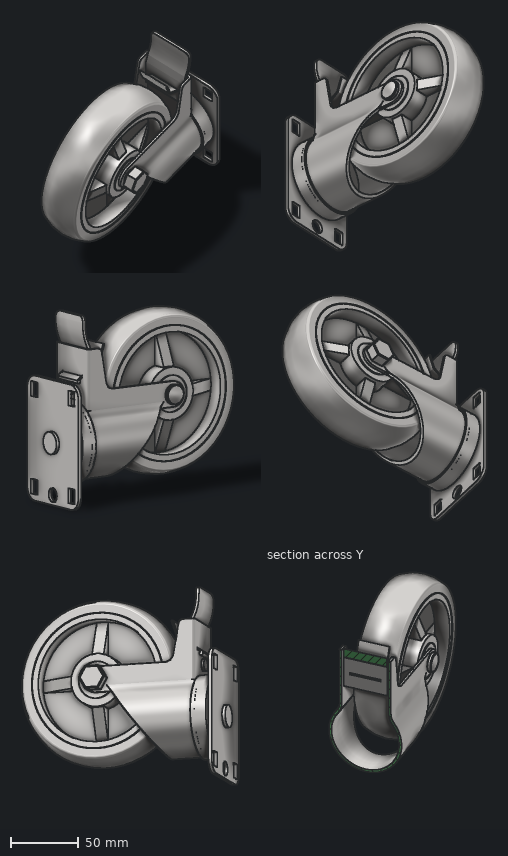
import cadquery as cq
import math


PLATE_WIDTH = 66.5
PLATE_HEIGHT = 94.9
PLATE_THICKNESS = 2.7
PLATE_CORNER = 10.0
SLOT_WIDTH = 8.4
SLOT_HEIGHT = 11.3
SLOT_CORNER = 0.6
SLOT_PITCH_X = 48.3
SLOT_PITCH_Z = 74.0
ROUND_HOLE_RADIUS = 5.3
ROUND_HOLE_DROP = 39.7
PIN_RADIUS = 8.5
PIN_STANDOUT = 2.5
CUP_RADIUS = 31.7
CUP_TOP = -5.3
CUP_RIM = -17.5
CUP_GROOVE_RADIUS = 30.7
CUP_GROOVE_DEPTH = 3.2

AXLE_Y = -95.0
AXLE_Z = 30.1

SLEEVE_RADIUS = 29.8
SLEEVE_WALL = 2.4
EAR_HALF_SPAN = 21.0
EAR_WALL = 2.1
WEB_WALL = 2.4
BLEND_RADIUS = 11.3
BEND_RADIUS = 2.3
EAR_TOP = 71.7
EAR_TOP_Y = -29.5
EAR_ROOT_Y = -34.9
EAR_TOP_ROUND = 3.2
EAR_ROOT_ROUND = 7.2
EAR_END_RADIUS = 9.8
SLANT_BOTTOM_Y = -43.1
SLANT_RISE = 1.27
STOP_RADIUS = 4.7
STOP_Y = -15.5
STOP_Z = 39.9
EAR_INNER = EAR_HALF_SPAN - EAR_WALL
WEB_INNER_Y = CUP_RIM - WEB_WALL

LEVER_WIDTH = 35.4
LEVER_THICKNESS = 2.4
LEVER_CORNER = 5.0
LEVER_TOP = 96.7
LEVER_BOTTOM = 40.7
LEVER_FACE_Y = -23.8
LEVER_KINK_Z = 65.6
CURL_RADIUS = 37.8
CURL_CENTER_Y = -55.2
CURL_CENTER_Z = 90.2
CURL_FOOT_Z = 72.5
TONGUE_WIDTH = 25.1
TONGUE_THICKNESS = 1.3
TONGUE_START = (-14.5, 47.8)
TONGUE_BEND = (-33.8, 61.3)
TONGUE_TIP = (-37.6, 72.4)
ROLL_RADIUS = 1.5
ROLL_Y = -15.0
ROLL_Z = 46.5

WHEEL_RADIUS = 63.2
TREAD_HALF = 14.3
TREAD_EDGE_RADIUS = 59.8
RIM_HALF = 16.2
SHOULDER_RADIUS = 57.3
SEAM_RADIUS = 51.5
SEAM_WIDTH = 0.3
SEAM_DEPTH = 0.5
RIM_INNER_RADIUS = 46.5
DISC_HALF = 3.9
HUB_RADIUS = 20.1
HUB_HALF = 18.2
BUSH_RADIUS = 14.0
RIB_COUNT = 4
RIB_WIDTH = 9.2
RIB_HALF = 15.3
RIB_OVERLAP = 0.8
AXLE_RADIUS = 5.6
HEAD_RADIUS = 7.7
HEAD_EDGE = 0.6
HEAD_RIM_X = 24.5
HEAD_TOP_X = 26.2
NUT_FLATS = 17.2
NUT_START = 23.2
NUT_END = 31.9
NUT_END_CHAMFER = (1.0, 0.5)
NUT_INNER_CHAMFER = 0.3


def disc(radius, y_start, y_end, z=0.0):
    """Cylinder along the Y direction, from y_start towards -Y."""
    return cq.Workplane("XZ", origin=(0, y_start, z)).circle(radius).extrude(y_start - y_end)


def make_mount():
    plate = cq.Workplane("XZ").rect(PLATE_WIDTH, PLATE_HEIGHT).extrude(PLATE_THICKNESS)
    plate = plate.edges("|Y").fillet(PLATE_CORNER)
    slots = cq.Workplane("XZ").rarray(SLOT_PITCH_X, SLOT_PITCH_Z, 2, 2).rect(SLOT_WIDTH, SLOT_HEIGHT)
    slots = slots.extrude(PLATE_THICKNESS).edges("|Y").fillet(SLOT_CORNER)
    plate = plate.cut(slots)
    plate = plate.cut(disc(ROUND_HOLE_RADIUS, 0, -PLATE_THICKNESS, -ROUND_HOLE_DROP))
    pin = disc(PIN_RADIUS, PIN_STANDOUT, CUP_TOP)
    cup = disc(CUP_RADIUS, CUP_TOP, CUP_RIM)
    groove_floor = CUP_RIM + CUP_GROOVE_DEPTH
    groove = disc(CUP_GROOVE_RADIUS, groove_floor, CUP_RIM).cut(disc(SLEEVE_RADIUS, groove_floor, CUP_RIM))
    cup = cup.cut(groove)
    return plate.union(pin).union(cup)


def blend_height(half_span, radius, blend):
    """Height at which a concave blend between an upright wall and the round sleeve leaves the wall."""
    return math.sqrt((radius + blend) ** 2 - (half_span + blend) ** 2)


def keyhole(half_span, radius, blend, y_start):
    """Prism along -Y: straight upright sides that flare into a round sleeve below."""
    height = blend_height(half_span, radius, blend)
    center_x = half_span + blend
    share = radius / (radius + blend)
    foot = (center_x * share, height * share)
    half_angle = math.atan2(height, center_x) / 2
    middle = (center_x - blend * math.cos(half_angle), height - blend * math.sin(half_angle))
    outline = (
        cq.Workplane("XZ", origin=(0, y_start, 0))
        .moveTo(half_span, EAR_TOP)
        .lineTo(half_span, height)
        .threePointArc(middle, foot)
        .threePointArc((0, -radius), (-foot[0], foot[1]))
        .threePointArc((-middle[0], middle[1]), (-half_span, height))
        .lineTo(-half_span, EAR_TOP)
        .close()
    )
    return outline.extrude(y_start - AXLE_Y)


def slant_y(z):
    """Y of the sleeve's slanted lower end at height z."""
    return SLANT_BOTTOM_Y - (z + SLEEVE_RADIUS) / SLANT_RISE


def make_fork_sides():
    """Two solids with the fork's side outline: the ears above, the sleeve with its slanted end below."""
    bend_z = blend_height(EAR_HALF_SPAN, SLEEVE_RADIUS, BLEND_RADIUS)
    ear_edge = AXLE_Z + EAR_END_RADIUS
    lobe_z = AXLE_Z - EAR_END_RADIUS
    ears = (
        cq.Workplane("YZ")
        .moveTo(CUP_RIM, bend_z)
        .lineTo(CUP_RIM, EAR_TOP)
        .lineTo(EAR_TOP_Y, EAR_TOP)
        .lineTo(EAR_ROOT_Y, ear_edge)
        .lineTo(AXLE_Y, ear_edge)
        .threePointArc((AXLE_Y - EAR_END_RADIUS, AXLE_Z), (AXLE_Y, lobe_z))
        .lineTo(slant_y(lobe_z), lobe_z)
        .lineTo(slant_y(bend_z), bend_z)
        .close()
        .extrude(EAR_HALF_SPAN, both=True)
    )
    ears = ears.edges(cq.selectors.NearestToPointSelector((0, EAR_TOP_Y, EAR_TOP))).fillet(EAR_TOP_ROUND)
    ears = ears.edges(cq.selectors.NearestToPointSelector((0, EAR_ROOT_Y, ear_edge))).fillet(EAR_ROOT_ROUND)
    sleeve = (
        cq.Workplane("YZ")
        .moveTo(CUP_RIM, -SLEEVE_RADIUS)
        .lineTo(SLANT_BOTTOM_Y, -SLEEVE_RADIUS)
        .lineTo(slant_y(bend_z), bend_z)
        .lineTo(CUP_RIM, bend_z)
        .close()
        .extrude(SLEEVE_RADIUS, both=True)
    )
    return ears, sleeve


def make_fork(brake):
    ears, sleeve_side = make_fork_sides()
    inner_radius = SLEEVE_RADIUS - SLEEVE_WALL
    outer = keyhole(EAR_HALF_SPAN, SLEEVE_RADIUS, BLEND_RADIUS, CUP_RIM)
    inner = keyhole(EAR_INNER, inner_radius, BLEND_RADIUS + EAR_WALL, WEB_INNER_Y)
    sleeve = outer.intersect(sleeve_side).cut(inner)
    gap_length = WEB_INNER_Y - AXLE_Y + EAR_END_RADIUS
    ear_gap = cq.Workplane("XY").box(2 * EAR_INNER, gap_length, EAR_TOP, centered=(True, False, False))
    ear_gap = ear_gap.translate((0, WEB_INNER_Y - gap_length, 0))
    back_edges = cq.selectors.BoxSelector(
        (-SLEEVE_RADIUS, CUP_RIM - 0.2, AXLE_Z), (SLEEVE_RADIUS, CUP_RIM + 0.2, EAR_TOP - 1.6)
    )
    channel = ears.edges(back_edges).edges("|Z").fillet(BEND_RADIUS).cut(ear_gap)
    stop = disc(STOP_RADIUS, STOP_Y, CUP_RIM, STOP_Z)
    bore = cq.Workplane("YZ").center(AXLE_Y, AXLE_Z).circle(AXLE_RADIUS).extrude(EAR_HALF_SPAN, both=True)
    return channel.union(sleeve).union(stop).cut(bore).cut(brake)


def make_lever():
    def curl_y(radius, z):
        return CURL_CENTER_Y + math.sqrt(radius**2 - (z - CURL_CENTER_Z) ** 2)

    outer_radius = CURL_RADIUS + LEVER_THICKNESS
    back_y = LEVER_FACE_Y + LEVER_THICKNESS
    lever = (
        cq.Workplane("YZ")
        .moveTo(curl_y(CURL_RADIUS, LEVER_TOP), LEVER_TOP)
        .threePointArc(
            (CURL_CENTER_Y + CURL_RADIUS, CURL_CENTER_Z), (curl_y(CURL_RADIUS, CURL_FOOT_Z), CURL_FOOT_Z)
        )
        .lineTo(LEVER_FACE_Y, LEVER_KINK_Z)
        .lineTo(LEVER_FACE_Y, LEVER_BOTTOM)
        .lineTo(back_y, LEVER_BOTTOM)
        .lineTo(back_y, LEVER_KINK_Z)
        .lineTo(curl_y(outer_radius, CURL_FOOT_Z), CURL_FOOT_Z)
        .threePointArc(
            (CURL_CENTER_Y + outer_radius, CURL_CENTER_Z), (curl_y(outer_radius, LEVER_TOP), LEVER_TOP)
        )
        .close()
        .extrude(LEVER_WIDTH / 2, both=True)
    )
    height = LEVER_TOP - LEVER_BOTTOM
    rounded = cq.Workplane("XZ").center(0, LEVER_BOTTOM + height / 2).rect(LEVER_WIDTH, height)
    rounded = rounded.extrude(-CURL_CENTER_Y).edges("|Y and >Z").fillet(LEVER_CORNER)
    return lever.intersect(rounded)


def make_brake():
    path = cq.Workplane("YZ").polyline([TONGUE_START, TONGUE_BEND, TONGUE_TIP])
    tongue = path.offset2D(TONGUE_THICKNESS / 2).extrude(TONGUE_WIDTH / 2, both=True)
    roll = cq.Workplane("YZ").center(ROLL_Y, ROLL_Z).circle(ROLL_RADIUS).extrude(TONGUE_WIDTH / 2, both=True)
    return make_lever().union(tongue).union(roll)


def make_wheel_body():
    """Tyre, rim, disc and hub in one, turned about the X axis."""
    seam_inner = SEAM_RADIUS - SEAM_WIDTH / 2
    seam_outer = SEAM_RADIUS + SEAM_WIDTH / 2
    seam_floor = RIM_HALF - SEAM_DEPTH
    shoulder_x = TREAD_HALF + (RIM_HALF - TREAD_HALF) * math.sin(math.pi / 4)
    shoulder_radius = SHOULDER_RADIUS + (TREAD_EDGE_RADIUS - SHOULDER_RADIUS) * math.sin(math.pi / 4)
    half_steps = [
        (EAR_INNER, 0),
        (EAR_INNER, BUSH_RADIUS),
        (HUB_HALF, BUSH_RADIUS),
        (HUB_HALF, HUB_RADIUS),
        (DISC_HALF, HUB_RADIUS),
        (DISC_HALF, RIM_INNER_RADIUS),
        (RIM_HALF, RIM_INNER_RADIUS),
        (RIM_HALF, seam_inner),
        (seam_floor, seam_inner),
        (seam_floor, seam_outer),
        (RIM_HALF, seam_outer),
        (RIM_HALF, SHOULDER_RADIUS),
    ]
    left_steps = [(-x, radius) for x, radius in half_steps]
    return (
        cq.Workplane("XY")
        .polyline(left_steps)
        .threePointArc((-shoulder_x, shoulder_radius), (-TREAD_HALF, TREAD_EDGE_RADIUS))
        .threePointArc((0, WHEEL_RADIUS), (TREAD_HALF, TREAD_EDGE_RADIUS))
        .threePointArc((shoulder_x, shoulder_radius), (RIM_HALF, SHOULDER_RADIUS))
        .polyline(half_steps[-2::-1], includeCurrent=True)
        .close()
        .revolve(360, (0, 0, 0), (1, 0, 0))
    )


def make_rib():
    """Rib that tapers from the hub down to the disc, on both sides of it."""
    root = HUB_RADIUS - RIB_OVERLAP
    outline = [
        (-RIB_HALF, root),
        (-RIB_HALF, HUB_RADIUS),
        (-DISC_HALF, RIM_INNER_RADIUS),
        (DISC_HALF, RIM_INNER_RADIUS),
        (RIB_HALF, HUB_RADIUS),
        (RIB_HALF, root),
    ]
    return cq.Workplane("XY").polyline(outline).close().extrude(RIB_WIDTH / 2, both=True)


def make_nut():
    corner_diameter = NUT_FLATS / math.cos(math.pi / 6)
    nut = cq.Workplane("YZ", origin=(NUT_START, 0, 0)).polygon(6, corner_diameter)
    nut = nut.extrude(NUT_END - NUT_START)
    nut = nut.faces("<X").edges().chamfer(NUT_INNER_CHAMFER)
    return nut.faces(">X").edges().chamfer(*NUT_END_CHAMFER)


def make_axle():
    """Domed head on the -X side, shank through both ears, hexagon nut on the +X side."""
    shank = cq.Workplane("YZ", origin=(-EAR_HALF_SPAN, 0, 0)).circle(AXLE_RADIUS)
    shank = shank.extrude(EAR_HALF_SPAN + NUT_START)
    dome_height = HEAD_TOP_X - HEAD_RIM_X
    dome_edge = HEAD_RADIUS - HEAD_EDGE
    dome_radius = (dome_edge**2 + dome_height**2) / (2 * dome_height)
    dome_middle = dome_edge / 2
    dome_middle_x = HEAD_TOP_X - dome_radius + math.sqrt(dome_radius**2 - dome_middle**2)
    head = (
        cq.Workplane("XY")
        .moveTo(-EAR_HALF_SPAN, 0)
        .lineTo(-EAR_HALF_SPAN, dome_edge)
        .lineTo(-EAR_HALF_SPAN - HEAD_EDGE, HEAD_RADIUS)
        .lineTo(HEAD_EDGE - HEAD_RIM_X, HEAD_RADIUS)
        .lineTo(-HEAD_RIM_X, dome_edge)
        .threePointArc((-dome_middle_x, dome_middle), (-HEAD_TOP_X, 0))
        .close()
        .revolve(360, (0, 0, 0), (1, 0, 0))
    )
    return shank.union(head).union(make_nut())


def make_wheel():
    wheel = make_wheel_body()
    for index in range(RIB_COUNT):
        wheel = wheel.union(make_rib().rotate((0, 0, 0), (1, 0, 0), index * 360 / RIB_COUNT))
    return wheel.union(make_axle()).translate((0, AXLE_Y, AXLE_Z))


mount = make_mount()
brake = make_brake()
fork = make_fork(brake)
wheel = make_wheel()

bodies = [mount, fork, brake, wheel]
result = cq.Compound.makeCompound([body.solids().val() for body in bodies])